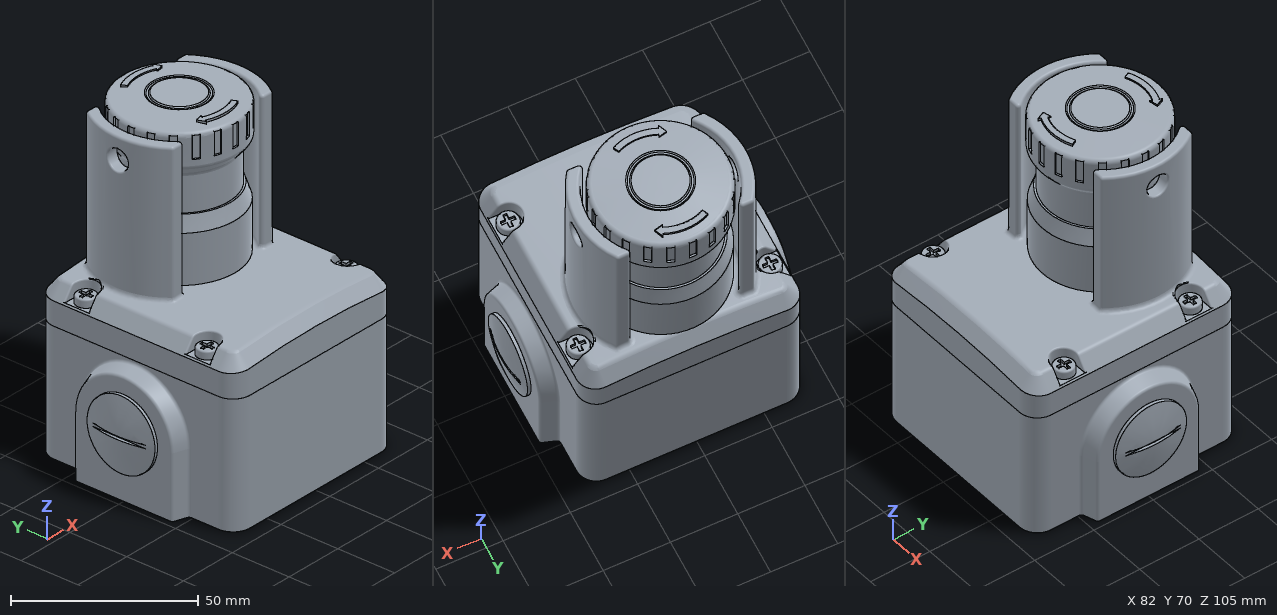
import cadquery as cq
import math

body_x = 65.8
body_y = 70.0
corner_radius = 6.0
base_height = 41.0
boss_face_x = 38.0
boss_center_z = 21.0
boss_root_radius = 18.8
boss_taper = 18.2
boss_fillet = 1.0

roof_z = 55.1
roof_radius = 300.3
shoulder_drop = 4.6
shoulder_inset = 3.8
shoulder_fillet = 2.0

button_y = 13.0
guard_outer_radius = 25.5
guard_inner_radius = 21.5
guard_half_length = 15.4
guard_top_z = 102.2
guard_fillet = 1.0
guard_root_fillet = 1.5
guard_hole_z = 94.7
guard_hole_radius = 3.5
guard_hole_fillet = 0.5

screw_x = 28.6
screw_y = 21.3
screw_head_radius = 3.3
screw_wall_height = 2.0
screw_rim_fillet = 0.6
recess_length = 4.2
recess_width = 1.0
recess_depth = 0.8
pocket_radius = 4.1
pocket_rim_fillet = 0.5
pocket_floor_z = 49.2

plug_radius = 12.0
plug_rim_height = 1.0
plug_height = 2.99
plug_slot_width = 1.0
plug_slot_depth = 1.2

collar_stem_radius = 16.0
collar_seat_z = 54.6
collar_bottom_z = 56.3
collar_radius = 19.5
collar_cone_z = 72.3
collar_top_z = 77.3
collar_top_radius = 17.8

neck_radius = 17.2
neck_top_z = 89.2
skirt_top_z = 92.4
skirt_fillet = 1.8
head_radius = 20.0
head_wall_top_z = 101.7
dome_edge_radius = 18.3
dome_edge_z = 103.4
head_top_z = 105.0
ring_inner_radius = 7.9
ring_outer_radius = 9.3
ring_slope = 0.4
ring_depth = 0.3
grip_count = 20
grip_width = 2.2
grip_depth = 0.6
grip_bottom_z = 95.1
grip_top_z = 102.5

arrow_inner_radius = 14.4
arrow_outer_radius = 16.3
arrow_top_z = 104.5
arrow_tail_angle = 115.0
arrow_neck_angle = 66.0
arrow_tip_angle = 58.0
arrow_point_overhang = 0.8

margin = 0.1


def polar(radius, degrees):
    angle = math.radians(degrees)
    return (radius * math.cos(angle), radius * math.sin(angle))


def make_boss():
    """Tapered arch on the +X side of the base, rounded around its face."""
    wall_x = body_x / 2
    depth = boss_face_x - wall_x
    run_out = boss_root_radius
    length = boss_center_z + run_out
    boss = (
        cq.Workplane("YZ", origin=(wall_x, 0, 0))
        .moveTo(-boss_root_radius, boss_center_z)
        .threePointArc((0, boss_center_z + boss_root_radius), (boss_root_radius, boss_center_z))
        .line(0, -length)
        .line(-2 * boss_root_radius, 0)
        .close()
        .extrude(depth, taper=boss_taper)
        .faces(">X").edges().fillet(boss_fillet)
    )
    below = (
        cq.Workplane("XY", origin=(0, 0, -run_out))
        .box(4 * boss_face_x, 2 * body_y, 2 * run_out)
    )
    return boss.cut(below)


def make_base():
    base = (
        cq.Workplane("XY")
        .box(body_x, body_y, base_height, centered=(True, True, False))
        .edges("|Z").fillet(corner_radius)
    )
    boss = make_boss()
    base = base.union(boss).union(boss.mirror("YZ"))
    for side in (-1, 1):
        root = cq.selectors.BoxSelector(
            (side * body_x / 2 - margin, -boss_root_radius - margin, margin),
            (side * body_x / 2 + margin, boss_root_radius + margin, base_height - margin),
        )
        base = base.edges(root).fillet(boss_fillet)
    return base


def make_cover_shell():
    """Cover block with the crowned roof, sloped shoulders and rounded roof edge."""
    height = roof_z - base_height
    block = (
        cq.Workplane("XY", origin=(0, 0, base_height))
        .box(body_x, body_y, height, centered=(True, True, False))
        .edges("|Z").fillet(corner_radius)
    )
    crown = (
        cq.Workplane("XZ", origin=(0, body_y, roof_z - roof_radius))
        .circle(roof_radius).extrude(2 * body_y)
    )
    shell = block.intersect(crown)
    shell = shell.faces(">Z").edges().chamfer(shoulder_inset, shoulder_drop)
    return shell.faces(">Z").edges().fillet(shoulder_fillet)


def make_guard():
    """Curved wall on the +X side of the button, reaching down into the cover."""
    height = guard_top_z - base_height
    guard = (
        cq.Workplane("XY", origin=(0, button_y, base_height))
        .circle(guard_outer_radius).circle(guard_inner_radius)
        .extrude(height)
    )
    window = cq.Workplane("XY", origin=(guard_outer_radius / 2, button_y, base_height)).box(
        guard_outer_radius, 2 * guard_half_length, height, centered=(True, True, False)
    )
    guard = guard.intersect(window).edges("|Z").fillet(guard_fillet)
    guard = guard.faces(">Z").edges().fillet(guard_fillet)
    drill = (
        cq.Workplane("YZ", origin=(0, button_y, guard_hole_z))
        .circle(guard_hole_radius).extrude(2 * guard_outer_radius)
    )
    reach = guard_hole_radius + margin
    rim = cq.selectors.BoxSelector(
        (0, button_y - reach, guard_hole_z - reach),
        (2 * guard_outer_radius, button_y + reach, guard_hole_z + reach),
    )
    return guard.cut(drill).edges(rim).edges("not #X").fillet(guard_hole_fillet)


def make_screw_pocket(side_x, side_y):
    """Space of one screw pocket, open through the side wall and clear of the guard root."""
    height = roof_z + guard_root_fillet - pocket_floor_z
    reach = body_x / 2
    round_end = cq.Workplane("XY").circle(pocket_radius).extrude(height)
    opening = (
        cq.Workplane("XY").center(side_x * reach / 2, 0)
        .rect(reach, 2 * pocket_radius).extrude(height)
    )
    place = (side_x * screw_x, side_y * screw_y, pocket_floor_z)
    return round_end.union(opening).translate(place)


def make_rounded_recess(shell, side_x, side_y):
    """Material that one pocket with a rounded rim takes out of the plain shell."""
    reach = pocket_radius + margin
    rim = cq.selectors.BoxSelector(
        (side_x * screw_x - reach, side_y * screw_y - reach, pocket_floor_z + margin),
        (side_x * screw_x + reach, side_y * screw_y + reach, roof_z + margin),
    )
    pocketed = shell.cut(make_screw_pocket(side_x, side_y))
    return shell.cut(pocketed.edges(rim).edges("not |Z").fillet(pocket_rim_fillet))


def make_cover():
    shell = make_cover_shell()
    guard = make_guard()
    cover = shell.union(guard).union(guard.mirror("YZ"))
    reach_x = guard_outer_radius + margin
    reach_y = guard_half_length + margin
    root_zone = cq.selectors.BoxSelector(
        (-reach_x, button_y - reach_y, roof_z - shoulder_drop),
        (reach_x, button_y + reach_y, roof_z + margin),
    )
    cover = cover.edges(root_zone).fillet(guard_root_fillet)
    for side_x in (-1, 1):
        for side_y in (-1, 1):
            cover = cover.cut(make_rounded_recess(shell, side_x, side_y))
            cover = cover.cut(make_screw_pocket(side_x, side_y))
    seat = (
        cq.Workplane("XY", origin=(0, button_y, collar_seat_z))
        .circle(collar_stem_radius).extrude(collar_bottom_z - collar_seat_z)
    )
    return cover.cut(seat)


def make_screw(side_x, side_y):
    """Screw head with a rounded rim and a cross recess, standing on the pocket floor."""
    top = screw_wall_height + screw_rim_fillet
    head = (
        cq.Workplane("XY").circle(screw_head_radius).extrude(top)
        .faces(">Z").edges().fillet(screw_rim_fillet)
    )
    for length, width in ((recess_length, recess_width), (recess_width, recess_length)):
        slot = (
            cq.Workplane("XY", origin=(0, 0, top - recess_depth))
            .rect(length, width).extrude(recess_depth)
        )
        head = head.cut(slot)
    return head.translate((side_x * screw_x, side_y * screw_y, pocket_floor_z))


def make_plug(side):
    """Domed plug on the boss face, with a screwdriver slot along Y."""
    dome_height = plug_height - plug_rim_height
    dome_radius = (plug_radius**2 + dome_height**2) / (2 * dome_height)
    half_chord = plug_radius / 2
    half_way = plug_height - dome_radius + math.sqrt(dome_radius**2 - half_chord**2)
    plug = (
        cq.Workplane("XY")
        .lineTo(plug_height, 0)
        .threePointArc((half_way, half_chord), (plug_rim_height, plug_radius))
        .lineTo(0, plug_radius)
        .close()
        .revolve(360, (0, 0, 0), (1, 0, 0))
    )
    slot = (
        cq.Workplane("YZ", origin=(plug_height - plug_slot_depth, 0, 0))
        .rect(2 * plug_radius, plug_slot_width).extrude(plug_slot_depth)
    )
    plug = plug.cut(slot).translate((boss_face_x, 0, boss_center_z))
    return plug if side > 0 else plug.mirror("YZ")


def make_collar():
    """Cone-topped collar whose stem stands in the seat of the roof."""
    return (
        cq.Workplane("XZ")
        .moveTo(0, collar_seat_z)
        .lineTo(collar_stem_radius, collar_seat_z)
        .lineTo(collar_stem_radius, collar_bottom_z)
        .lineTo(collar_radius, collar_bottom_z)
        .lineTo(collar_radius, collar_cone_z)
        .lineTo(collar_top_radius, collar_top_z)
        .lineTo(0, collar_top_z)
        .close()
        .revolve(360, (0, 0, 0), (0, 1, 0))
        .translate((0, button_y, 0))
    )


def dome_z(radius):
    """Height of the dome at a distance from the button axis."""
    drop = head_top_z - dome_edge_z
    sphere_radius = (dome_edge_radius**2 + drop**2) / (2 * drop)
    return head_top_z - sphere_radius + math.sqrt(sphere_radius**2 - radius**2)


def make_arrow():
    """Raised arrow on the far side of the dome, with its point toward +X."""
    mean_radius = (arrow_inner_radius + arrow_outer_radius) / 2
    mid_angle = (arrow_tail_angle + arrow_neck_angle) / 2
    return (
        cq.Workplane("XY", origin=(0, 0, head_wall_top_z))
        .moveTo(*polar(arrow_outer_radius, arrow_tail_angle))
        .threePointArc(polar(arrow_outer_radius, mid_angle), polar(arrow_outer_radius, arrow_neck_angle))
        .lineTo(*polar(arrow_outer_radius + arrow_point_overhang, arrow_neck_angle))
        .lineTo(*polar(mean_radius, arrow_tip_angle))
        .lineTo(*polar(arrow_inner_radius - arrow_point_overhang, arrow_neck_angle))
        .lineTo(*polar(arrow_inner_radius, arrow_neck_angle))
        .threePointArc(polar(arrow_inner_radius, mid_angle), polar(arrow_inner_radius, arrow_tail_angle))
        .close()
        .extrude(arrow_top_z - head_wall_top_z)
    )


def make_ring_groove():
    """Ring with sloped sides, cut into the top of the dome."""
    rim_z = dome_z(ring_inner_radius)
    return (
        cq.Workplane("XZ")
        .moveTo(ring_inner_radius, rim_z)
        .lineTo(ring_inner_radius + ring_slope, rim_z - ring_depth)
        .lineTo(ring_outer_radius - ring_slope, rim_z - ring_depth)
        .lineTo(ring_outer_radius, dome_z(ring_outer_radius))
        .lineTo(ring_outer_radius, head_top_z)
        .lineTo(ring_inner_radius, head_top_z)
        .close()
        .revolve(360, (0, 0, 0), (0, 1, 0))
    )


def make_head():
    """Mushroom head and neck, with grip grooves, a ring groove and two arrows."""
    half_way = math.sqrt(0.5)
    upper_round = (
        dome_edge_radius + (head_radius - dome_edge_radius) * half_way,
        head_wall_top_z + (dome_edge_z - head_wall_top_z) * half_way,
    )
    head = (
        cq.Workplane("XZ")
        .moveTo(0, collar_top_z)
        .lineTo(neck_radius, collar_top_z)
        .lineTo(neck_radius, neck_top_z)
        .lineTo(head_radius, skirt_top_z)
        .lineTo(head_radius, head_wall_top_z)
        .threePointArc(upper_round, (dome_edge_radius, dome_edge_z))
        .threePointArc((dome_edge_radius / 2, dome_z(dome_edge_radius / 2)), (0, head_top_z))
        .close()
        .revolve(360, (0, 0, 0), (0, 1, 0))
    )
    skirt_ends = cq.selectors.BoxSelector(
        (-head_radius, -head_radius, neck_top_z - margin),
        (head_radius, head_radius, skirt_top_z + margin),
    )
    head = head.edges(skirt_ends).edges("%CIRCLE").fillet(skirt_fillet)
    head = head.cut(make_ring_groove())
    groove = (
        cq.Workplane("XY", origin=(0, 0, grip_bottom_z))
        .center(head_radius, 0)
        .rect(2 * grip_depth, grip_width)
        .extrude(grip_top_z - grip_bottom_z)
    )
    for index in range(grip_count):
        head = head.cut(groove.rotate((0, 0, 0), (0, 0, 1), index * 360 / grip_count))
    arrow = make_arrow()
    head = head.union(arrow).union(arrow.rotate((0, 0, 0), (0, 0, 1), 180))
    return head.translate((0, button_y, 0))


base = make_base()
cover = make_cover()
screws = [make_screw(side_x, side_y) for side_x in (-1, 1) for side_y in (-1, 1)]
plugs = [make_plug(side) for side in (-1, 1)]
collar = make_collar()
head = make_head()

result = cq.Compound.makeCompound([
    base.val(),
    cover.val(),
    *[screw.val() for screw in screws],
    *[plug.val() for plug in plugs],
    collar.val(),
    head.val(),
])